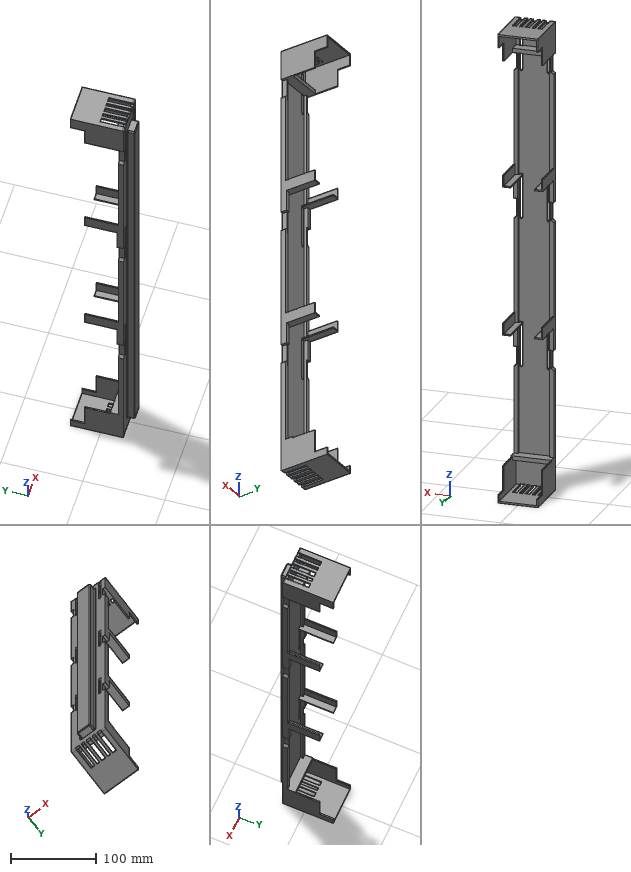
import cadquery as cq

height = 585
width = 50.0
body_depth = 65.0
half_width = width / 2

front_wall = 3.0
side_wall = 2.0
end_wall = 2.5

rail_depth = 6.5
rail_side = 5.0

box_depth = 47.5
top_box_height = 39.0
top_foot_height = 16.5
bottom_box_height = 40.5
bottom_foot_height = 10.0
ledge_depth = 16.5
ledge_thickness = 5.0
bottom_ledge_top = 42.0
edge_radius = 2.0

pitch = 185.0
notch_tops = [height - top_box_height - i * pitch for i in range(3)]
notch_height = 26.0
notch_inset = 3.5
notch_slope = 3.0
slot_x = 17.0
slot_width = 3.5
slot_above_notch = 30.0
slot_below_notch = 27.0

strut_height = 14.5
strut_above_notch = 27.5
strut_foot_depth = 8.0
strut_lip_width = 10.0
strut_lip_thickness = 2.0

grille_rib = 3.5
grille_center_width = 5.0
grille_inner_width = 3.5
grille_outer_width = 5.0
grille_rear = 30.5
grille_height = 3.0

strip_bottom = 19.5
strip_top = 566.0
strip_base_width = 23.0
strip_base_depth = 1.0
strip_width = 19.5
strip_depth = 9.5
strip_corner = 2.0
strip_front_chamfer = 1.0


def block(x0, x1, y0, y1, z0, z1):
    return cq.Workplane("XY").box(x1 - x0, y1 - y0, z1 - z0, centered=False).translate((x0, y0, z0))


def centered_block(block_width, y0, y1, z0, z1):
    return block(-block_width / 2, block_width / 2, y0, y1, z0, z1)


def both_sides(shape):
    return shape.union(shape.mirror("YZ"))


def make_body():
    """Full side outline extruded across the width, then hollowed from behind."""
    top_box_bottom = height - top_box_height
    outline = [
        (0, 0),
        (body_depth, 0),
        (body_depth, bottom_foot_height),
        (box_depth, bottom_foot_height),
        (box_depth, bottom_box_height),
        (ledge_depth, bottom_box_height),
        (ledge_depth, bottom_ledge_top),
        (rail_depth, bottom_ledge_top),
        (rail_depth, top_box_bottom),
        (box_depth, top_box_bottom),
        (box_depth, height - top_foot_height),
        (body_depth, height - top_foot_height),
        (body_depth, height),
        (0, height),
    ]
    body = cq.Workplane("YZ").polyline(outline).close().extrude(half_width, both=True)
    body = body.edges("<Y and |X").fillet(edge_radius)

    ledge_bottom = bottom_ledge_top - ledge_thickness
    top_ledge_top = top_box_bottom + ledge_thickness
    channel_width = width - 2 * rail_side
    box_inner_width = width - 2 * side_wall
    body = body.cut(centered_block(channel_width, front_wall, body_depth, bottom_ledge_top, top_box_bottom))
    for z0, z1 in ((end_wall, ledge_bottom), (top_ledge_top, height - end_wall)):
        body = body.cut(centered_block(box_inner_width, front_wall, body_depth, z0, z1))
    for z0, z1 in ((ledge_bottom, bottom_ledge_top), (top_box_bottom, top_ledge_top)):
        body = body.cut(centered_block(box_inner_width, ledge_depth, body_depth, z0, z1))
    return body


def make_strut(notch_top):
    """L-shaped arm at the -X side, with a deeper stretch of rail below it."""
    bottom = notch_top + strut_above_notch
    inner_x = -half_width + side_wall
    lip_x = -half_width + strut_lip_width
    arm = block(-half_width, inner_x, 0, box_depth, bottom, bottom + strut_height)
    lip = block(-half_width, lip_x, front_wall, box_depth, bottom, bottom + strut_lip_thickness)
    foot = block(-half_width, -half_width + rail_side, 0, strut_foot_depth, notch_top, bottom)
    return arm.union(lip).union(foot)


def make_notch(notch_top):
    """Side notch at -X with a sloping lower end."""
    bottom = notch_top - notch_height
    inner_x = -half_width + notch_inset
    outline = [
        (-half_width, notch_top),
        (inner_x, notch_top),
        (inner_x, bottom + notch_slope),
        (-half_width, bottom),
    ]
    return cq.Workplane("XZ").polyline(outline).close().extrude(-rail_depth)


def make_slot(notch_top):
    """Long front slot at -X with a square upper end and a pointed lower end."""
    top = notch_top + slot_above_notch
    bottom = notch_top - slot_below_notch
    half = slot_width / 2
    outline = [
        (-slot_x - half, top),
        (-slot_x + half, top),
        (-slot_x + half, bottom + half),
        (-slot_x, bottom),
        (-slot_x - half, bottom + half),
    ]
    return cq.Workplane("XZ").polyline(outline).close().extrude(-front_wall)


def make_grille(z0):
    """Five openings that also break through the front edge of an end wall."""
    z1 = z0 + grille_height
    openings = centered_block(grille_center_width, 0, grille_rear, z0, z1)
    x0 = grille_center_width / 2 + grille_rib
    for opening_width in (grille_inner_width, grille_outer_width):
        opening = block(x0, x0 + opening_width, 0, grille_rear, z0, z1)
        openings = openings.union(both_sides(opening))
        x0 += opening_width + grille_rib
    return openings


def make_strip():
    base = centered_block(strip_base_width, -strip_base_depth, 0, strip_bottom, strip_top)
    strip = centered_block(strip_width, -strip_depth, 0, strip_bottom, strip_top)
    base = base.edges("|Y").chamfer(strip_corner)
    strip = strip.edges("|Y").chamfer(strip_corner)
    strip = strip.faces("<Y").chamfer(strip_front_chamfer)
    return base.union(strip)


result = make_body()
for notch_top in notch_tops[1:]:
    result = result.union(both_sides(make_strut(notch_top)))
for notch_top in notch_tops:
    result = result.cut(both_sides(make_notch(notch_top)))
    result = result.cut(both_sides(make_slot(notch_top)))
for grille_bottom in (0, height - grille_height):
    result = result.cut(make_grille(grille_bottom))
result = result.union(make_strip())